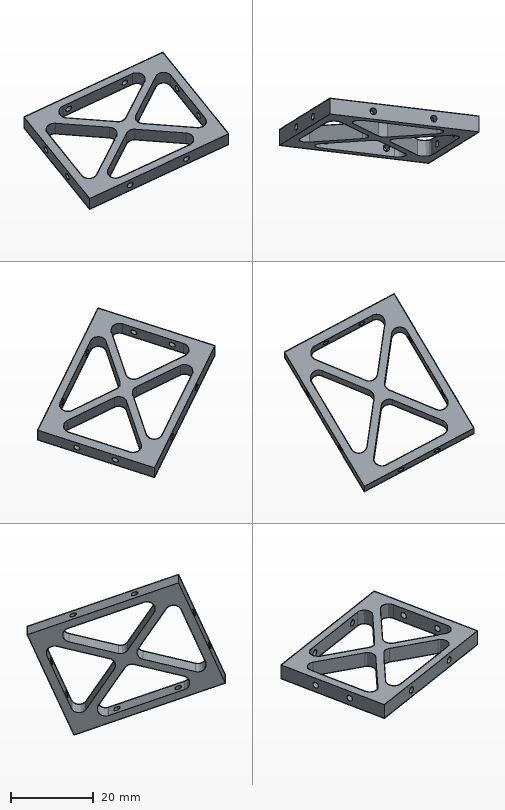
import cadquery as cq
import math

length_x = 30.5
length_y = 39.5
thickness = 4.0

side_rim = 2.0
end_rim = 2.25
brace_width = 2.0
corner_radius = 2.0

hole_diameter = 1.6
end_hole_positions = (-5.0, 5.0)
side_hole_spacing = 16.0
side_hole_offset = -0.25
side_hole_positions = (
    side_hole_offset - side_hole_spacing / 2,
    side_hole_offset + side_hole_spacing / 2,
)

inner_half_x = length_x / 2 - side_rim
inner_half_y = length_y / 2 - end_rim
brace_angle = math.atan2(inner_half_y, inner_half_x)

brace_half_x = brace_width / 2 / math.sin(brace_angle)
brace_half_y = brace_width / 2 / math.cos(brace_angle)


def triangular_pocket(points):
    """Through-cutter with a triangular outline and rounded corners."""
    prism = cq.Workplane("XY").polyline(points).close().extrude(thickness, both=True)
    return prism.edges("|Z").fillet(corner_radius)


def end_pocket(side):
    """Pocket beside a short side; side is +1 for +Y and -1 for -Y."""
    base_y = side * inner_half_y
    half_base = inner_half_x - brace_half_x
    return triangular_pocket([(-half_base, base_y), (half_base, base_y), (0, side * brace_half_y)])


def side_pocket(side):
    """Pocket beside a long side; side is +1 for +X and -1 for -X."""
    base_x = side * inner_half_x
    half_base = inner_half_y - brace_half_y
    return triangular_pocket([(base_x, -half_base), (base_x, half_base), (side * brace_half_x, 0)])


def rim_hole(start, direction, depth):
    """Round cutter from a point on an outer face, running inward."""
    drill = cq.Solid.makeCylinder(hole_diameter / 2, depth, cq.Vector(*start), cq.Vector(*direction))
    return cq.Workplane(drill)


result = cq.Workplane("XY").box(length_x, length_y, thickness)

for side in (-1, 1):
    result = result.cut(end_pocket(side)).cut(side_pocket(side))

for side in (-1, 1):
    for x in end_hole_positions:
        result = result.cut(rim_hole((x, side * length_y / 2, 0), (0, -side, 0), end_rim))
    for y in side_hole_positions:
        result = result.cut(rim_hole((side * length_x / 2, y, 0), (-side, 0, 0), side_rim))